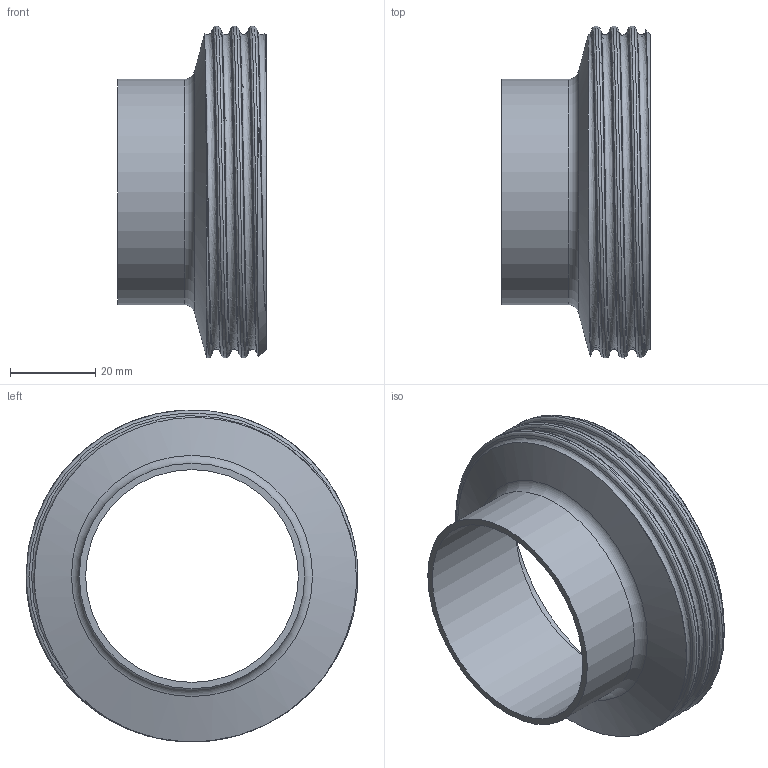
import cadquery as cq
import math

LENGTH = 35.0
BORE_RADIUS = 25.0
TUBE_RADIUS = 26.5
FLANGE_RADIUS = 39.0
TUBE_LENGTH = 15.7
CONE_START_X = 18.1
CONE_LEAN = math.radians(15)
END_CHAMFER = 2.0

INCH = 25.4
PITCH = INCH / 6
FLANK_ANGLE = math.radians(15)
CREST_TRIM = 0.06
FULL_CREST_RADIUS = FLANGE_RADIUS + CREST_TRIM
ROOT_RADIUS = FULL_CREST_RADIUS - PITCH / 2
ROUNDING = (
    PITCH / 4 * (math.cos(FLANK_ANGLE) - math.sin(FLANK_ANGLE)) / (1 - math.sin(FLANK_ANGLE))
)
GROOVE_TOP_X = 21.15
GROOVE_START_ANGLE = 150
GROOVE_TURNS = 4.1

SEAT_X = 27.7
SEAT_RADIUS = 33.5


def turned_blank():
    """Body of revolution about X, before threading."""
    neck_turn = math.pi / 2 - CONE_LEAN
    neck_radius = (CONE_START_X - TUBE_LENGTH) / math.sin(neck_turn)
    neck_end_radius = TUBE_RADIUS + neck_radius * (1 - math.cos(neck_turn))
    neck_mid = (
        TUBE_LENGTH + neck_radius * math.sin(neck_turn / 2),
        TUBE_RADIUS + neck_radius * (1 - math.cos(neck_turn / 2)),
    )
    cone_end_x = CONE_START_X + (FLANGE_RADIUS - neck_end_radius) * math.tan(CONE_LEAN)
    return (
        cq.Workplane("XY")
        .moveTo(0, BORE_RADIUS)
        .lineTo(0, TUBE_RADIUS)
        .lineTo(TUBE_LENGTH, TUBE_RADIUS)
        .threePointArc(neck_mid, (CONE_START_X, neck_end_radius))
        .lineTo(cone_end_x, FLANGE_RADIUS)
        .lineTo(LENGTH - END_CHAMFER, FLANGE_RADIUS)
        .lineTo(LENGTH, FLANGE_RADIUS - END_CHAMFER)
        .lineTo(LENGTH, SEAT_RADIUS)
        .lineTo(SEAT_X, SEAT_RADIUS)
        .lineTo(SEAT_X, BORE_RADIUS)
        .close()
        .revolve(360, (0, 0, 0), (1, 0, 0))
    )


def groove_section():
    """Thread groove in the XZ plane: radius along X, axis along Z, centred on Z = 0."""
    crest_centre_radius = FULL_CREST_RADIUS - ROUNDING
    crest_centre_z = PITCH / 2
    root_centre_radius = ROOT_RADIUS + ROUNDING
    cap_radius = FLANGE_RADIUS + CREST_TRIM / 2
    cap_angle = math.asin((cap_radius - crest_centre_radius) / ROUNDING)

    def crest_point(angle, side):
        return (
            crest_centre_radius + ROUNDING * math.sin(angle),
            side * (crest_centre_z - ROUNDING * math.cos(angle)),
        )

    def root_point(side):
        return (
            root_centre_radius - ROUNDING * math.sin(FLANK_ANGLE),
            side * ROUNDING * math.cos(FLANK_ANGLE),
        )

    mid_angle = (cap_angle + FLANK_ANGLE) / 2
    return (
        cq.Workplane("XZ")
        .moveTo(*crest_point(cap_angle, -1))
        .threePointArc(crest_point(mid_angle, -1), crest_point(FLANK_ANGLE, -1))
        .lineTo(*root_point(-1))
        .threePointArc((ROOT_RADIUS, 0), root_point(1))
        .lineTo(*crest_point(FLANK_ANGLE, 1))
        .threePointArc(crest_point(mid_angle, 1), crest_point(cap_angle, 1))
        .close()
    )


def thread_groove():
    """Right-hand helical groove that runs out freely past both ends of the flange rim."""
    helix = cq.Wire.makeHelix(PITCH, GROOVE_TURNS * PITCH, ROOT_RADIUS)
    groove = groove_section().sweep(cq.Workplane(obj=helix), isFrenet=True)
    start_x = GROOVE_TOP_X + (GROOVE_START_ANGLE / 360 - 1) * PITCH
    groove = groove.rotate((0, 0, 0), (0, 1, 0), 90)
    groove = groove.rotate((0, 0, 0), (1, 0, 0), GROOVE_START_ANGLE - 180)
    return groove.translate((start_x, 0, 0))


result = turned_blank().cut(thread_groove())